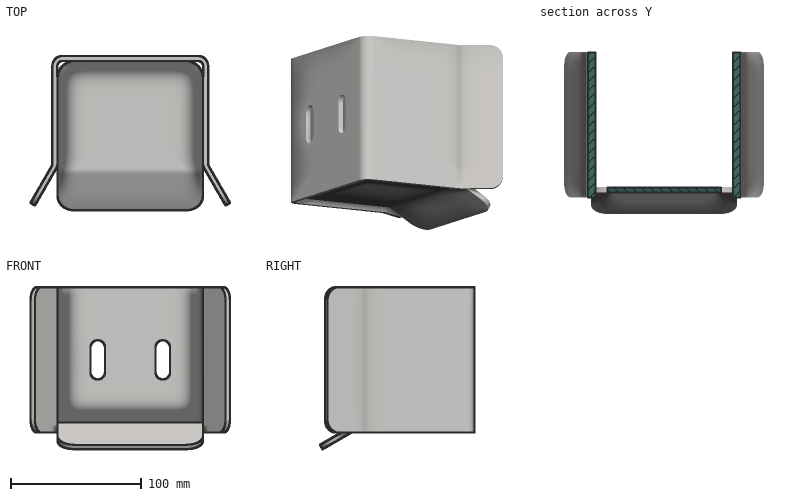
import cadquery as cq
import math

sheet = 4.0
inner_radius = 4.0
outer_radius = inner_radius + sheet
bend_angle = math.radians(30)

inner_width = 112.0
wall_height = 112.0
wall_bend_y = 83.0
flap_length = 32.4
flap_corner_radius = 10.0

floor_top = 8.0
floor_bend_y = 86.9
lip_length = 32.4
floor_corner_radius = 13.0

slot_width = 11.0
slot_length = 30.0
slot_spacing = 50.0

outer_width = inner_width + 2 * sheet


def bent_sheet(back_y, bend_y, leg_length, width, corner_radius):
    """Sheet with its top on Z = 0, running toward -Y, then bent down into a leg with rounded corners."""
    def on_bend(radius, angle):
        return (-bend_y - radius * math.sin(angle), radius * math.cos(angle) - outer_radius)

    def leg_tip(radius):
        start_y, start_z = on_bend(radius, bend_angle)
        return (start_y - leg_length * math.cos(bend_angle), start_z - leg_length * math.sin(bend_angle))

    strip = (
        cq.Workplane("YZ")
        .moveTo(-back_y, 0)
        .lineTo(-bend_y, 0)
        .threePointArc(on_bend(outer_radius, bend_angle / 2), on_bend(outer_radius, bend_angle))
        .lineTo(*leg_tip(outer_radius))
        .lineTo(*leg_tip(inner_radius))
        .lineTo(*on_bend(inner_radius, bend_angle))
        .threePointArc(on_bend(inner_radius, bend_angle / 2), on_bend(inner_radius, 0))
        .lineTo(-back_y, -sheet)
        .close()
        .extrude(width / 2, both=True)
    )
    return strip.faces("<Y").edges("not |X").fillet(corner_radius)


def make_back():
    """Back panel with its two rounded corners and short stubs that meet the side walls."""
    panel = (
        cq.Workplane("XY")
        .rect(outer_width, 2 * outer_radius)
        .extrude(wall_height)
        .edges("|Z and >Y")
        .fillet(outer_radius)
        .translate((0, -outer_radius, 0))
    )
    inside = (
        cq.Workplane("XY")
        .rect(inner_width, 2 * outer_radius)
        .extrude(wall_height)
        .edges("|Z and >Y")
        .fillet(inner_radius)
        .translate((0, -outer_radius - sheet, 0))
    )
    return panel.cut(inside)


def make_bracket():
    """Back panel, two side walls with outward flaps, and two upright mounting slots."""
    left_wall = (
        bent_sheet(outer_radius, wall_bend_y, flap_length, wall_height, flap_corner_radius)
        .rotate((0, 0, 0), (0, 1, 0), 90)
        .translate((-inner_width / 2, 0, wall_height / 2))
    )
    slots = (
        cq.Workplane("XZ", origin=(0, 0, wall_height / 2))
        .rarray(slot_spacing, 1.5, 2, 1)
        .slot2D(slot_length, slot_width, 90)
        .extrude(sheet)
    )
    return make_back().union(left_wall).union(left_wall.mirror("YZ")).cut(slots).clean()


def make_floor():
    """Floor plate that fits between the walls, with a lip bent down at the front."""
    plate = bent_sheet(sheet, floor_bend_y, lip_length, inner_width, floor_corner_radius)
    return plate.faces(">Y").edges("|Z").fillet(floor_corner_radius).translate((0, 0, floor_top))


bracket = make_bracket()
floor = make_floor()

result = cq.Compound.makeCompound([bracket.solids().val(), floor.solids().val()])